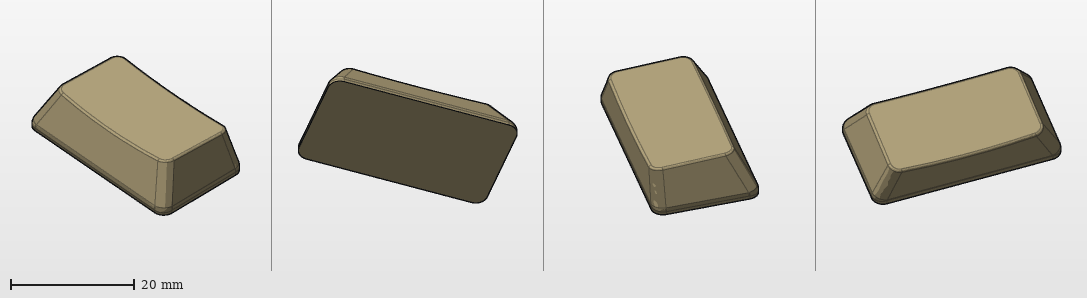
import cadquery as cq

LENGTH = 32.45
WIDTH = 18.16
CORNER_RADIUS = 2.0
BACK_FLARE = 0.03

SHOULDER_HEIGHT = 0.98
SHOULDER_RADIUS = 1.5

TOP_LENGTH = 26.1
TOP_WIDTH = 14.1
TOP_CENTER_Y = 1.55
TOP_CORNER_RADIUS = 1.85
TOP_CENTER_HEIGHT = 7.7
TOP_TILT = 2.75

DISH_RADIUS = 120.0
DISH_DEPTH = 0.93
RIM_RADIUS = 0.45

SELECTION_MARGIN = 0.1


def rounded_rectangle(length, width, radius):
    return cq.Sketch().rect(length, width).vertices().fillet(radius)


def top_location():
    """Middle of the tilted top plane, with local Z square to that plane."""
    center = cq.Vector(0, TOP_CENTER_Y, TOP_CENTER_HEIGHT)
    return cq.Location(center, cq.Vector(1, 0, 0), -TOP_TILT)


def make_body():
    """Upright base with a tapered body above it, joined by a rounded shoulder."""
    foot_location = cq.Location(cq.Vector(0, -BACK_FLARE / 2, 0))
    foot_outline = rounded_rectangle(LENGTH, WIDTH - BACK_FLARE, CORNER_RADIUS).moved(foot_location)
    shoulder_location = cq.Location(cq.Vector(0, 0, SHOULDER_HEIGHT))
    shoulder_outline = rounded_rectangle(LENGTH, WIDTH, CORNER_RADIUS).moved(shoulder_location)
    top_outline = rounded_rectangle(TOP_LENGTH, TOP_WIDTH, TOP_CORNER_RADIUS).moved(top_location())

    base = cq.Workplane("XY").placeSketch(foot_outline, shoulder_outline).loft(ruled=True)
    taper = cq.Workplane("XY").placeSketch(shoulder_outline, top_outline).loft(ruled=True)

    shoulder_edges = cq.selectors.BoxSelector(
        (-LENGTH, -WIDTH, SHOULDER_HEIGHT - SELECTION_MARGIN),
        (LENGTH, WIDTH, SHOULDER_HEIGHT + SELECTION_MARGIN),
    )
    return base.union(taper).edges(shoulder_edges).fillet(SHOULDER_RADIUS)


def dish_cutter():
    """Large cylinder that hollows the top from side to side."""
    cylinder = (
        cq.Workplane("XZ", origin=(0, 0, DISH_RADIUS - DISH_DEPTH))
        .circle(DISH_RADIUS)
        .extrude(WIDTH, both=True)
    )
    return cq.Workplane(cylinder.val().moved(top_location()))


dished = make_body().cut(dish_cutter())
result = dished.faces(">Z").edges().fillet(RIM_RADIUS)